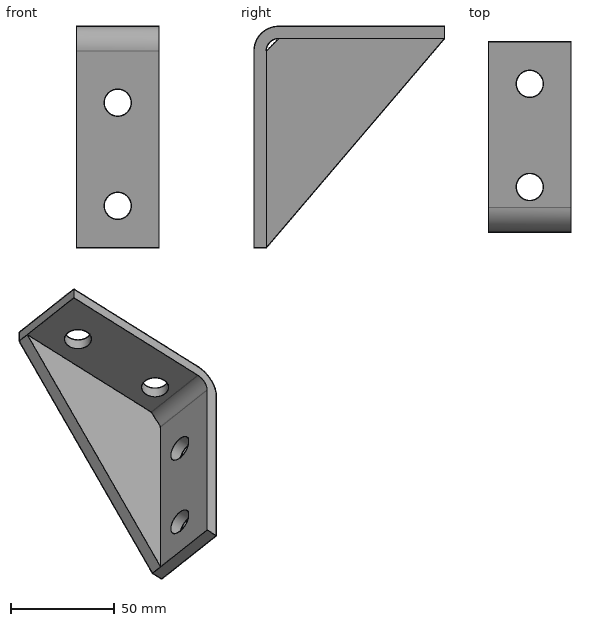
import cadquery as cq
import math

width = 40.0
depth = 92.5
height = 107.5

thickness = 6.0
inner_radius = 6.0
outer_radius = inner_radius + thickness

hole_diameter = 13.0
hole_spacing = 50.0
holes_per_leg = 2
hole_end_distance = 20.4

gusset_thickness = 6.0


def leg_holes(plane, positions):
    """Cylinders running along the plane normal, through one leg."""
    return (
        cq.Workplane(plane)
        .pushPoints(positions)
        .circle(hole_diameter / 2)
        .extrude(thickness)
    )


def make_bracket():
    """Strip bent to a right angle: upright leg at Y = 0, top leg at Z = height."""
    outer_mid = outer_radius - outer_radius * math.cos(math.radians(45))
    inner_mid = outer_radius - inner_radius * math.cos(math.radians(45))
    strip = (
        cq.Workplane("YZ")
        .moveTo(0, 0)
        .lineTo(0, height - outer_radius)
        .threePointArc((outer_mid, height - outer_mid), (outer_radius, height))
        .lineTo(depth, height)
        .lineTo(depth, height - thickness)
        .lineTo(outer_radius, height - thickness)
        .threePointArc((inner_mid, height - inner_mid), (thickness, height - outer_radius))
        .lineTo(thickness, 0)
        .close()
        .extrude(width)
    )
    hole_x = width / 2
    upright_holes = leg_holes(
        cq.Plane(origin=(0, 0, 0), xDir=(-1, 0, 0), normal=(0, 1, 0)),
        [(-hole_x, hole_end_distance + i * hole_spacing) for i in range(holes_per_leg)],
    )
    top_holes = leg_holes(
        cq.Plane(origin=(0, 0, height - thickness), xDir=(1, 0, 0), normal=(0, 0, 1)),
        [(hole_x, depth - hole_end_distance - i * hole_spacing) for i in range(holes_per_leg)],
    )
    return strip.cut(upright_holes).cut(top_holes)


def make_gusset():
    """Triangle between the legs, its inner corner cut off clear of the bend."""
    return (
        cq.Workplane("YZ", origin=(width - gusset_thickness, 0, 0))
        .moveTo(thickness, 0)
        .lineTo(thickness, height - outer_radius)
        .lineTo(outer_radius, height - thickness)
        .lineTo(depth, height - thickness)
        .close()
        .extrude(gusset_thickness)
    )


bracket = make_bracket()
gusset = make_gusset()

result = cq.Compound.makeCompound([bracket.val(), gusset.val()])